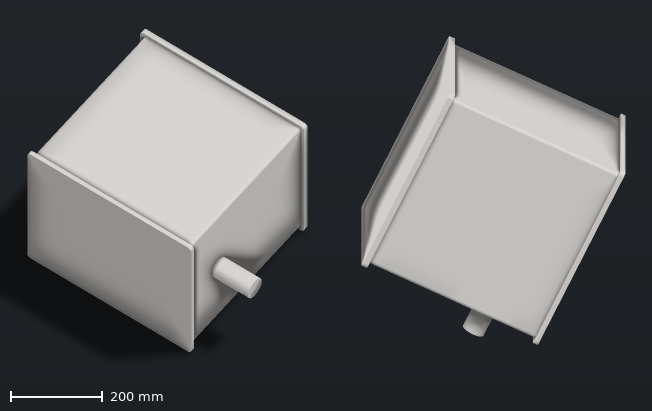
import cadquery as cq

overall_length = 535.0
overall_depth = 426.0
flange_height = 375.0

flange_length = 445.0
front_flange_thickness = 10.0
back_flange_thickness = 13.0
flange_overhang = 10.0
flange_corner_radius = flange_overhang
box_corner_radius = 8.0
box_length = flange_length - 2 * flange_overhang
box_height = flange_height - 2 * flange_overhang

pipe_diameter = 50.0
pipe_from_front = 112.0
pipe_length = overall_length - flange_length + flange_overhang

plate_thickness = 10.0
plate_height = 254.5
plate_from_back = 55.5

plate_center_y = overall_depth - plate_from_back - plate_thickness / 2


def rounded_block(length, height, radius, front_y, depth):
    """Block running along Y, with its four long edges rounded."""
    return (
        cq.Workplane("XY")
        .box(length, depth, height, centered=(True, False, True))
        .edges("|Y")
        .fillet(radius)
        .translate((0, front_y, 0))
    )


def make_flange(front_y, thickness):
    return rounded_block(flange_length, flange_height, flange_corner_radius, front_y, thickness)


def make_pipe():
    return (
        cq.Workplane("YZ", origin=(box_length / 2, pipe_from_front, 0))
        .circle(pipe_diameter / 2)
        .extrude(pipe_length)
    )


def make_plate():
    return (
        cq.Workplane("XY")
        .box(box_length, plate_thickness, plate_height)
        .translate((0, plate_center_y, 0))
    )


def make_housing(plate):
    back_flange_y = overall_depth - back_flange_thickness
    box_depth = back_flange_y - front_flange_thickness
    box = rounded_block(box_length, box_height, box_corner_radius, front_flange_thickness, box_depth)
    front_flange = make_flange(0, front_flange_thickness)
    back_flange = make_flange(back_flange_y, back_flange_thickness)
    return box.union(front_flange).union(back_flange).union(make_pipe()).cut(plate)


partition_plate = make_plate()
housing = make_housing(partition_plate)

result = cq.Compound.makeCompound([housing.solids().val(), partition_plate.val()])